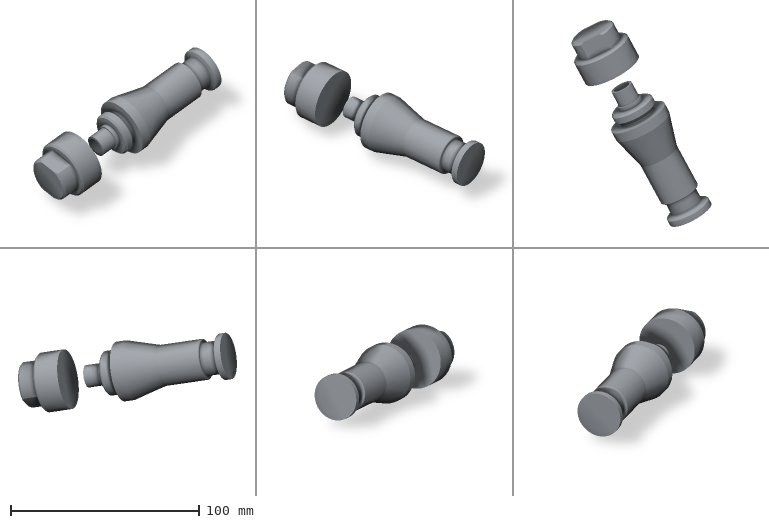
import cadquery as cq

OVERALL_LENGTH = 115.3
REAR_Y = OVERALL_LENGTH / 2

flange_radius = 32.0 / 2
head_radius = 24.9 / 2
neck_radius = 18.0 / 2
barrel_radius = 22.0 / 2
groove_radius = 20.0 / 2
collar_radius = 24.0 / 2
pilot_radius = 14.0 / 2
rod_radius = 12.0 / 2
bore_radius = 9.0 / 2

head_rim_end = 3.7
head_underside_end = 4.8
barrel_start = 12.8
cone_start = 37.2
flange_start = 55.9
flange_end = 61.3
collar_start = 64.8
collar_end = 69.3
pilot_end = 71.6
rod_end = 80.4
collar_chamfer = 1.0
bore_depth = 6.9

nut_start = 91.3
nut_shoulder = 105.3
nut_chamfer = 1.0
boss_radius = head_radius
flats_width = 21.0

small_fillet = 0.5
head_fillet = 0.9
barrel_fillet = 0.6


def turned(profile):
    """Revolve (radius, station) points around Y, closing the outline along the axis."""
    points = [(radius, REAR_Y - station) for radius, station in profile]
    return cq.Workplane("XY").polyline(points).close().revolve(360, (0, 0), (0, 1))


def fillet_circle(body, radius, station, fillet):
    """Round the circular edge found at one radius and station."""
    y = REAR_Y - station
    margin = 0.02
    corner = radius + margin
    box = cq.selectors.BoxSelector(
        (-corner, y - margin, -corner), (corner, y + margin, corner), boundingbox=True
    )
    ring = body.edges(box).edges(cq.selectors.RadiusNthSelector(-1))
    return body.newObject(ring.vals()).fillet(fillet)


def make_stem():
    groove_end = collar_start - (collar_radius - groove_radius)
    stem = turned([
        (0, 0),
        (head_radius, 0),
        (head_radius, head_rim_end),
        (neck_radius, head_underside_end),
        (neck_radius, barrel_start),
        (barrel_radius, barrel_start),
        (barrel_radius, cone_start),
        (flange_radius, flange_start),
        (flange_radius, flange_end),
        (groove_radius, flange_end),
        (groove_radius, groove_end),
        (collar_radius, collar_start),
        (collar_radius, collar_end - collar_chamfer),
        (collar_radius - collar_chamfer, collar_end),
        (pilot_radius, collar_end),
        (pilot_radius, pilot_end),
        (rod_radius, pilot_end),
        (rod_radius, rod_end),
        (0, rod_end),
    ])
    rounded_edges = [
        (head_radius, head_rim_end, head_fillet),
        (neck_radius, head_underside_end, small_fillet),
        (neck_radius, barrel_start, small_fillet),
        (barrel_radius, barrel_start, barrel_fillet),
        (groove_radius, flange_end, small_fillet),
        (groove_radius, groove_end, small_fillet),
    ]
    for radius, station, fillet in rounded_edges:
        stem = fillet_circle(stem, radius, station, fillet)

    bore = turned([
        (0, rod_end - bore_depth),
        (bore_radius, rod_end - bore_depth),
        (bore_radius, rod_end),
        (0, rod_end),
    ])
    return stem.cut(bore)


def make_nut():
    nut = turned([
        (0, nut_start),
        (flange_radius, nut_start),
        (flange_radius, nut_shoulder - nut_chamfer),
        (flange_radius - nut_chamfer, nut_shoulder),
        (boss_radius, nut_shoulder),
        (boss_radius, OVERALL_LENGTH - nut_chamfer),
        (boss_radius - nut_chamfer, OVERALL_LENGTH),
        (0, OVERALL_LENGTH),
    ])
    nut = fillet_circle(nut, boss_radius, nut_shoulder, small_fillet)

    boss_length = OVERALL_LENGTH - nut_shoulder
    boss_middle_y = REAR_Y - nut_shoulder - boss_length / 2
    flat_depth = flange_radius - flats_width / 2
    for side in (1, -1):
        flat_middle_z = side * (flats_width + flat_depth) / 2
        cutter = cq.Workplane("XY").box(2 * flange_radius, boss_length, flat_depth)
        nut = nut.cut(cutter.translate((0, boss_middle_y, flat_middle_z)))
    return nut


stem = make_stem()
nut = make_nut()
result = cq.Compound.makeCompound([stem.val(), nut.val()])